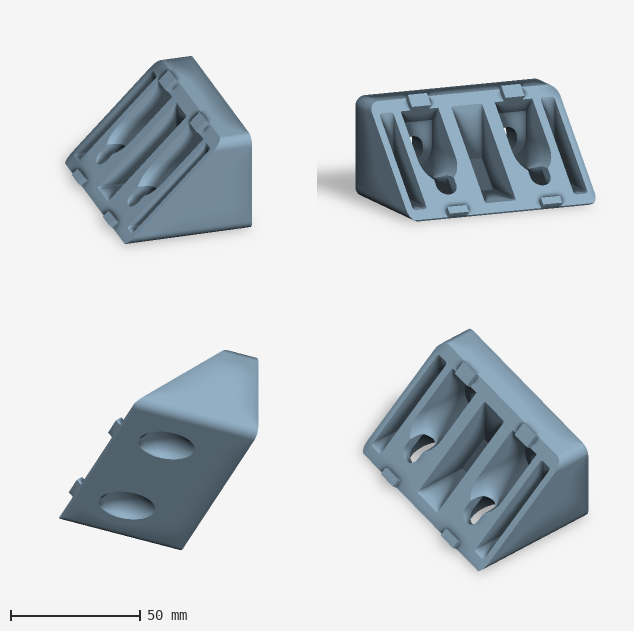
import cadquery as cq
import math


length = 80.0
height = 40.0
top_depth = 12.0
corner_radius = 4.0
nose_edge = 1.3

tab_thickness = 3.1
tab_spacing = 39.8
tab_width = 8.2
top_tab_length = 7.1
bottom_tab_length = 4.0

wall = 4.0
center_pocket_width = 13.1
center_pocket_radius = 0.6
center_pocket_clip = 10.3
side_pocket_width = 5.9
side_pocket_offset = 34.2
side_pocket_radius = 1.0

screw_spacing = 40.0
hole_width = 8.4
seat_radius = 8.0
back_seat_depth = 10.0
back_seat_z = 20.0
back_hole_height = 9.4
back_hole_z = 19.5
slope_hole_from_nose = 18.0
slope_slot_travel = 5.0
slope_seat_thickness = 5.0

diagonal = math.sqrt(0.32)
nose_z = nose_edge * diagonal
nose_depth = top_depth + height - nose_z
pocket_back = top_depth + wall
pocket_top = height - wall
cut_reach = length


def prism(points, width):
    """Extrude an outline of (depth, z) points, centred on X = 0."""
    outline = [(-depth, z) for depth, z in points]
    return cq.Workplane("YZ").polyline(outline).close().extrude(width / 2, both=True)


def mirrored_pair(shape, spacing):
    """Two copies of a shape, placed symmetrically about X = 0."""
    left = shape.translate((-spacing / 2, 0, 0))
    right = shape.translate((spacing / 2, 0, 0))
    return left.union(right)


def make_body():
    wedge = prism(
        [
            (0, 0),
            (nose_depth - nose_z, 0),
            (nose_depth, nose_z),
            (top_depth, height),
            (0, height),
        ],
        length,
    )
    rounded_bar = (
        cq.Workplane("XZ", origin=(0, 0, height / 2))
        .rect(length, height)
        .extrude(nose_depth)
        .edges("|Y")
        .fillet(corner_radius)
    )
    return wedge.intersect(rounded_bar)


def make_tab(upper_depth, upper_z, tab_length):
    """Bar lying on the slanted face, its upper end at the given point."""
    run = tab_length * diagonal
    rise = tab_thickness * diagonal
    return prism(
        [
            (upper_depth, upper_z),
            (upper_depth + rise, upper_z + rise),
            (upper_depth + rise + run, upper_z + rise - run),
            (upper_depth + run, upper_z - run),
        ],
        tab_width,
    )


def make_center_pocket():
    """Pocket with a slanted floor between its back wall and its bottom."""
    pocket = prism(
        [
            (pocket_back, cut_reach),
            (pocket_back, wall + center_pocket_clip),
            (pocket_back + center_pocket_clip, wall),
            (cut_reach, wall),
            (cut_reach, cut_reach),
        ],
        center_pocket_width,
    )
    return pocket.edges("#X and (not (<Y or >Z))").fillet(center_pocket_radius)


def make_side_pocket():
    """Narrow square-cornered pocket with every inner edge rounded."""
    pocket = prism(
        [
            (pocket_back, cut_reach),
            (pocket_back, wall),
            (cut_reach, wall),
            (cut_reach, cut_reach),
        ],
        side_pocket_width,
    )
    return pocket.edges("not (<Y or >Z)").fillet(side_pocket_radius)


def make_back_screw_cut():
    """Round-bottomed recess open to the slope, with a slot through the back."""
    roof_drop = pocket_back - back_seat_depth
    recess = prism(
        [
            (back_seat_depth, back_seat_z),
            (back_seat_depth, pocket_top - roof_drop),
            (pocket_back, pocket_top),
            (cut_reach, pocket_top),
            (cut_reach, back_seat_z),
        ],
        2 * seat_radius,
    )
    round_bottom = (
        cq.Workplane("XZ", origin=(0, -back_seat_depth, back_seat_z))
        .moveTo(-seat_radius, 0)
        .threePointArc((0, -seat_radius), (seat_radius, 0))
        .close()
        .extrude(cut_reach - back_seat_depth)
    )
    slot = (
        cq.Workplane("XZ", origin=(0, 0, back_hole_z))
        .slot2D(back_hole_height, hole_width, 90)
        .extrude(pocket_back)
    )
    return recess.union(round_bottom).union(slot)


def make_slope_screw_cut():
    """Slot square to the slope, counterbored from the bottom of the bracket."""
    offset = slope_hole_from_nose * diagonal
    slope_plane = cq.Plane(
        origin=(0, offset - nose_depth, nose_z + offset),
        xDir=(1, 0, 0),
        normal=(0, -1, 1),
    )
    slot = (
        cq.Workplane(slope_plane)
        .center(0, slope_slot_travel / 2)
        .slot2D(slope_slot_travel + hole_width, hole_width, 90)
        .extrude(-slope_seat_thickness)
    )
    counterbore = (
        cq.Workplane(slope_plane)
        .workplane(offset=-slope_seat_thickness)
        .circle(seat_radius)
        .extrude(-cut_reach)
    )
    return slot.union(counterbore)


bottom_tab_run = bottom_tab_length * diagonal
top_tab = make_tab(top_depth, height, top_tab_length)
bottom_tab = make_tab(nose_depth - bottom_tab_run, nose_z + bottom_tab_run, bottom_tab_length)

result = (
    make_body()
    .cut(make_center_pocket())
    .cut(mirrored_pair(make_side_pocket(), 2 * side_pocket_offset))
    .cut(mirrored_pair(make_back_screw_cut(), screw_spacing))
    .cut(mirrored_pair(make_slope_screw_cut(), screw_spacing))
    .union(mirrored_pair(top_tab, tab_spacing))
    .union(mirrored_pair(bottom_tab, tab_spacing))
)